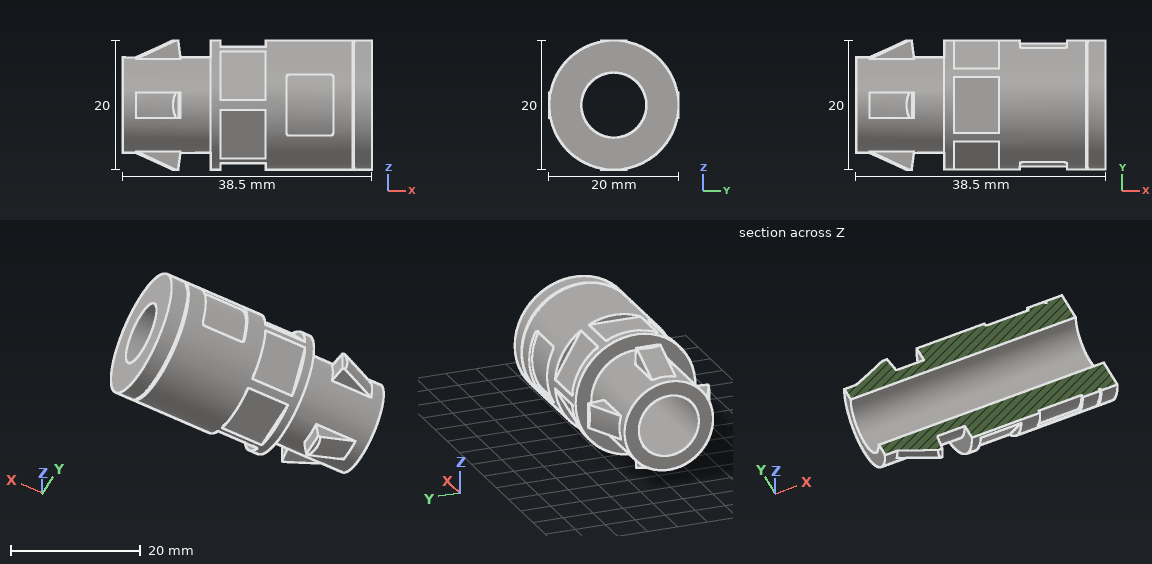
import cadquery as cq

length = 38.5
body_diameter = 20.0
nozzle_diameter = 14.8
bore_diameter = 10.0
shoulder_x = 13.6

flats_start = 15.13
flats_end = 22.05
across_flats = 18.0
flats_turn = 30

barb_count = 4
barb_width = 3.93
barb_start = 2.08
barb_crest_start = 7.78
barb_crest_end = 8.6
barb_end = 8.95
barb_root_height = 5.78
barb_height = body_diameter / 2

recess_start = 25.25
recess_end = 32.55
recess_height = 9.45
recess_corner_radius = 0.5
recess_floor_diameter = 19.0

groove_start = 35.5
groove_width = 0.25
groove_floor_diameter = 19.35


def cylinder(start, end, diameter):
    """Solid cylinder along X."""
    return cq.Workplane("YZ", origin=(start, 0, 0)).circle(diameter / 2).extrude(end - start)


def ring(start, end, outer_diameter, inner_diameter):
    return cylinder(start, end, outer_diameter).cut(cylinder(start, end, inner_diameter))


def make_flats_cutter():
    """Material outside the hexagon, with one pair of flats facing up and down."""
    width = flats_end - flats_start
    hexagon = (
        cq.Workplane("YZ", origin=(flats_start, 0, 0))
        .polygon(6, across_flats, circumscribed=True)
        .extrude(width)
        .rotate((0, 0, 0), (1, 0, 0), flats_turn)
    )
    return cylinder(flats_start, flats_end, 2 * body_diameter).cut(hexagon)


def make_barb():
    """Barb pointing up: conical ramp, flat crest and steep rear face."""
    nozzle_radius = nozzle_diameter / 2
    ramp_slope = (barb_height - nozzle_radius) / (barb_crest_start - barb_start)
    ramp_end_radius = nozzle_radius + ramp_slope * (barb_end - barb_start)
    cone = (
        cq.Workplane("XZ")
        .moveTo(barb_start, 0)
        .lineTo(barb_start, nozzle_radius)
        .lineTo(barb_end, ramp_end_radius)
        .lineTo(barb_end, 0)
        .close()
        .revolve(360, (0, 0, 0), (1, 0, 0))
    )
    block = (
        cq.Workplane("XZ")
        .moveTo(barb_start, barb_root_height)
        .lineTo(barb_start, barb_height)
        .lineTo(barb_crest_end, barb_height)
        .lineTo(barb_end, nozzle_radius)
        .lineTo(barb_end, barb_root_height)
        .close()
        .extrude(barb_width / 2, both=True)
    )
    return block.intersect(cone)


def make_recess_cutter():
    """Both side recesses, with floors concentric to the body."""
    window = (
        cq.Workplane("XY")
        .box(recess_end - recess_start, 2 * body_diameter, recess_height)
        .edges("|Y")
        .fillet(recess_corner_radius)
        .translate(((recess_start + recess_end) / 2, 0, 0))
    )
    return window.cut(cylinder(recess_start, recess_end, recess_floor_diameter))


result = cylinder(0, shoulder_x, nozzle_diameter)
result = result.union(cylinder(shoulder_x, length, body_diameter))
result = result.cut(make_flats_cutter())
result = result.cut(make_recess_cutter())
result = result.cut(
    ring(groove_start, groove_start + groove_width, 2 * body_diameter, groove_floor_diameter)
)

barb = make_barb()
for index in range(barb_count):
    result = result.union(barb.rotate((0, 0, 0), (1, 0, 0), index * 360 / barb_count))

result = result.cut(cylinder(0, length, bore_diameter))